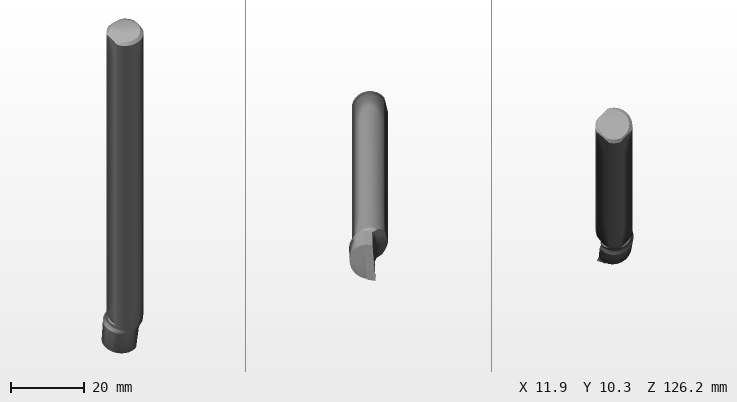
import cadquery as cq
import math

TOTAL_LENGTH = 126.2
SHANK_DIAMETER = 10.0
SHANK_RADIUS = SHANK_DIAMETER / 2
WIDTH_ACROSS_FLATS = 9.0
FLAT_DISTANCE = WIDTH_ACROSS_FLATS / 2
FLAT_END_Z = 11.7
FLAT_END_RADIUS = 3.7
TOP_CHAMFER_HEIGHT = 0.6
TOP_CHAMFER_WIDTH = 0.9

SHANK_END_Z = 12.5
NECK_Z = 10.6
HEAD_TOP_Z = 9.5
HEAD_TOP_RADIUS = 5.2
HEAD_TOP_X = -0.5
HEAD_BOTTOM_RADIUS = 4.9
HEAD_BOTTOM_X = -1.3
HEAD_REACH_Y = 5.8
NECK_SHIFT = 0.06

END_FACE_Z = 0.4
END_FACE_SLOPE = 8.0

OVERALL_WIDTH = 11.9
TIP_X = SHANK_RADIUS - OVERALL_WIDTH
TIP_Y = -0.1
RAKE_ANGLE = 9.0

RAMP_START_Z = 12.0
RAMP_RISE = 1.3
RAMP_TILT = 16.6

INSERT_INSCRIBED_DIAMETER = 5.5
INSERT_THICKNESS = 2.4
INSERT_LEAD_ANGLE = 1.0
INSERT_TIP_DIRECTION = 210.0 + INSERT_LEAD_ANGLE
INSERT_RELIEF_ANGLE = 7.0
INSERT_HOLE_DIAMETER = 2.5
INSERT_CENTER = (
    -INSERT_INSCRIBED_DIAMETER * math.cos(math.radians(INSERT_TIP_DIRECTION)),
    -INSERT_INSCRIBED_DIAMETER * math.sin(math.radians(INSERT_TIP_DIRECTION)),
)

CUT_SIZE = 37.9


def to_rake_frame(shape):
    """Carry a shape whose rake plane is XZ and tip is the origin to its place on the head."""
    return shape.rotate((0, 0, 0), (0, 0, 1), RAKE_ANGLE).translate((TIP_X, TIP_Y, 0))


def circle_wire(radius, x, y, z):
    return cq.Wire.makeCircle(radius, cq.Vector(x, y, z), cq.Vector(0, 0, 1))


def make_shank():
    length = TOTAL_LENGTH - SHANK_END_Z
    shank = cq.Workplane("XY").workplane(offset=SHANK_END_Z).circle(SHANK_RADIUS).extrude(length)
    return shank.faces(">Z").chamfer(TOP_CHAMFER_HEIGHT, TOP_CHAMFER_WIDTH)


def make_head():
    shank_end = circle_wire(SHANK_RADIUS, 0, 0, SHANK_END_Z)
    neck = circle_wire(SHANK_RADIUS, -NECK_SHIFT, -NECK_SHIFT, NECK_Z)
    top = circle_wire(HEAD_TOP_RADIUS, HEAD_TOP_X, HEAD_TOP_RADIUS - HEAD_REACH_Y, HEAD_TOP_Z)
    bottom = circle_wire(HEAD_BOTTOM_RADIUS, HEAD_BOTTOM_X, HEAD_BOTTOM_RADIUS - HEAD_REACH_Y, 0)
    head = cq.Workplane(cq.Solid.makeLoft([shank_end, neck], True))
    head = head.union(cq.Workplane(cq.Solid.makeLoft([neck, top], True)))
    return head.union(cq.Workplane(cq.Solid.makeLoft([top, bottom], True)))


def cut_flats(body):
    """Mill the long flats on the -X, -Y and +Y sides, each with a rounded lower end."""
    arc_center_z = FLAT_END_Z + FLAT_END_RADIUS
    profile = (
        cq.Workplane("YZ", origin=(FLAT_DISTANCE, 0, 0))
        .moveTo(-FLAT_END_RADIUS, arc_center_z)
        .threePointArc((0, FLAT_END_Z), (FLAT_END_RADIUS, arc_center_z))
        .lineTo(FLAT_END_RADIUS, TOTAL_LENGTH)
        .lineTo(-FLAT_END_RADIUS, TOTAL_LENGTH)
        .close()
    )
    cutter = profile.extrude(SHANK_RADIUS)
    for angle in (90, 180, 270):
        body = body.cut(cutter.rotate((0, 0, 0), (0, 0, 1), angle))
    return body


def cut_rake_face(body):
    """Remove the +Y side of the head, up to the tilted ramp."""
    profile = [(0, -CUT_SIZE), (0, 0), (CUT_SIZE, RAMP_RISE * CUT_SIZE), (CUT_SIZE, -CUT_SIZE)]
    cutter = cq.Workplane("YZ").polyline(profile).close().extrude(CUT_SIZE, both=True)
    cutter = cutter.rotate((0, 0, 0), (0, 1, 0), RAMP_TILT).translate((0, 0, RAMP_START_Z))
    return body.cut(to_rake_frame(cutter))


def cut_end_face(body):
    cutter = cq.Workplane("XY").box(CUT_SIZE, CUT_SIZE, CUT_SIZE, centered=(True, True, False))
    cutter = cutter.translate((0, 0, -CUT_SIZE)).rotate((0, 0, 0), (1, 0, 0), -END_FACE_SLOPE)
    return body.cut(cutter.translate((0, 0, END_FACE_Z)))


def triangle_wire(inscribed_radius, center, y):
    """Equilateral triangle parallel to XZ, with its first corner toward the cutting tip."""
    corner_radius = 2 * inscribed_radius
    corners = []
    for turn in (0, 120, 240):
        angle = math.radians(INSERT_TIP_DIRECTION + turn)
        x = center[0] + corner_radius * math.cos(angle)
        z = center[1] + corner_radius * math.sin(angle)
        corners.append(cq.Vector(x, y, z))
    return cq.Wire.makePolygon(corners, close=True)


def make_insert_block():
    """Solid triangle, with one corner at the tip and its sides narrowing behind the rake face."""
    front_radius = INSERT_INSCRIBED_DIAMETER / 2
    back_radius = front_radius - INSERT_THICKNESS * math.tan(math.radians(INSERT_RELIEF_ANGLE))
    front = triangle_wire(front_radius, INSERT_CENTER, 0)
    back = triangle_wire(back_radius, INSERT_CENTER, -INSERT_THICKNESS)
    return cq.Workplane(cq.Solid.makeLoft([front, back], True))


def make_insert(block):
    center_x, center_z = INSERT_CENTER
    profile = cq.Workplane("XZ", origin=(center_x, 0, center_z)).circle(INSERT_HOLE_DIAMETER / 2)
    hole = profile.extrude(2 * INSERT_THICKNESS, both=True)
    return to_rake_frame(block.cut(hole))


insert_block = make_insert_block()

holder = make_shank().union(make_head())
holder = cut_flats(holder)
holder = cut_rake_face(holder)
holder = cut_end_face(holder)
holder = holder.cut(to_rake_frame(insert_block))

insert = make_insert(insert_block)

result = cq.Compound.makeCompound([*holder.solids().vals(), *insert.solids().vals()])